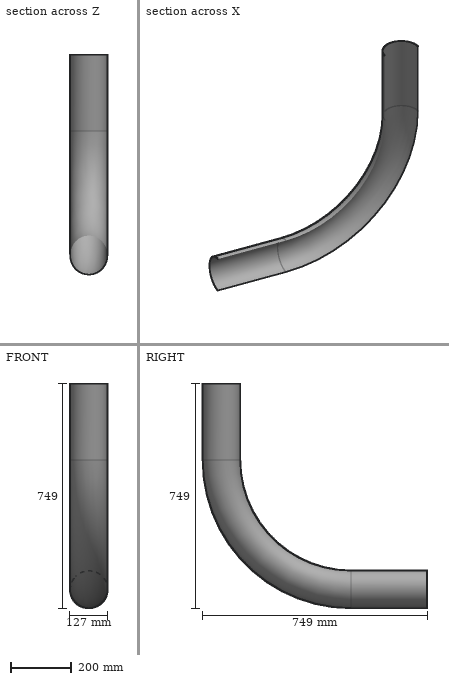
import cadquery as cq

overall_size = 749.0
outer_diameter = 127.0
inner_diameter = 124.0
straight_length = 254.0

bend_radius = overall_size - straight_length - outer_diameter / 2


def tube_section(workplane):
    """Draw the ring-shaped cross-section of the tube."""
    return workplane.circle(outer_diameter / 2).circle(inner_diameter / 2)


vertical_leg = tube_section(cq.Workplane("XY")).extrude(straight_length)

bend = tube_section(cq.Workplane("XY")).revolve(
    90, (0, bend_radius, 0), (1, bend_radius, 0)
)

horizontal_start = cq.Workplane("XZ", origin=(0, bend_radius, -bend_radius))
horizontal_leg = tube_section(horizontal_start).extrude(-straight_length)

result = vertical_leg.union(bend).union(horizontal_leg)